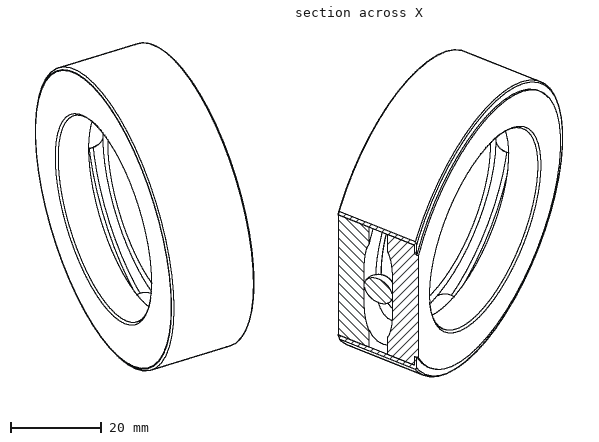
import cadquery as cq
import math

outer_radius = 69.85 / 2
bore_radius = 47.65 / 2
width = 20.6
front_face = -width / 2
back_face = width / 2

case_inner_radius = 68.45 / 2
case_front_edge_radius = 68.8 / 2
case_front_chamfer = 0.35
lip_inner_radius = 65.8 / 2
lip_recess = 0.4
lip_thickness = 0.7
lip_corner = 0.35
case_back_face = back_face - lip_recess
lip_inner_face = case_back_face - lip_thickness

bore_chamfer = 0.5
washer_gap = 4.7
gap_half = washer_gap / 2
raceway_pitch_radius = 29.05
raceway_section_radius = 3.6

ball_count = 3
first_ball_angle = 0
ball_spacing = 90


def revolve_profile(points):
    """Solid of revolution about Y from (radius, y) points."""
    return cq.Workplane("XY").polyline(points).close().revolve(360, (0, 0, 0), (0, 1, 0))


def make_case():
    """Sleeve chamfered at both ends, with a lip that retains the back washer."""
    return revolve_profile([
        (case_inner_radius, front_face),
        (case_front_edge_radius, front_face),
        (outer_radius, front_face + case_front_chamfer),
        (outer_radius, case_back_face - lip_corner),
        (outer_radius - lip_corner, case_back_face),
        (lip_inner_radius, case_back_face),
        (lip_inner_radius, lip_inner_face),
        (case_inner_radius, lip_inner_face),
    ])


def make_front_washer():
    """Flat washer, flush with the front of the case, chamfered at the bore."""
    return revolve_profile([
        (bore_radius + bore_chamfer, front_face),
        (case_inner_radius, front_face),
        (case_inner_radius, -gap_half),
        (bore_radius, -gap_half),
        (bore_radius, front_face + bore_chamfer),
    ])


def make_back_washer():
    """Stepped washer whose smaller nose passes through the lip of the case."""
    return revolve_profile([
        (bore_radius, gap_half),
        (case_inner_radius, gap_half),
        (case_inner_radius, lip_inner_face),
        (lip_inner_radius, lip_inner_face),
        (lip_inner_radius, back_face),
        (bore_radius + bore_chamfer, back_face),
        (bore_radius, back_face - bore_chamfer),
    ])


def cut_raceway(washer):
    """Washer with a round-section groove for the balls in its inner face."""
    groove = cq.Solid.makeTorus(
        raceway_pitch_radius, raceway_section_radius, cq.Vector(0, 0, 0), cq.Vector(0, 1, 0)
    )
    return washer.cut(cq.Workplane(obj=groove))


def make_ball(angle_degrees):
    """Ball on the raceway pitch circle, at an angle from +X towards -Z."""
    angle = math.radians(angle_degrees)
    x = raceway_pitch_radius * math.cos(angle)
    z = -raceway_pitch_radius * math.sin(angle)
    return cq.Workplane("XY").sphere(raceway_section_radius).translate((x, 0, z))


case = make_case()
front_washer = cut_raceway(make_front_washer())
back_washer = cut_raceway(make_back_washer())
balls = []
for index in range(ball_count):
    ball_angle = first_ball_angle + index * ball_spacing
    balls.append(make_ball(ball_angle).val())

result = cq.Compound.makeCompound([
    case.val(),
    front_washer.val(),
    back_washer.val(),
    *balls,
])